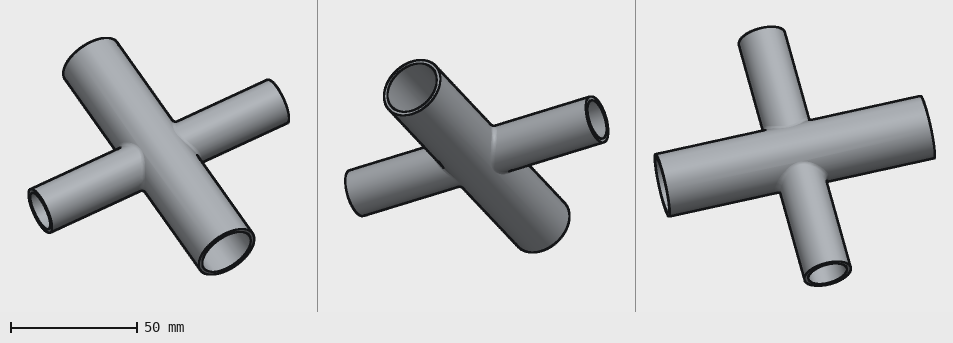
import cadquery as cq

length = 108.0
main_diameter = 25.4
branch_diameter = 19.0
wall = 1.6
junction_fillet = 1.6

main_bore = main_diameter - 2 * wall
branch_bore = branch_diameter - 2 * wall


def rod(plane, diameter):
    """Full-length solid cylinder normal to the plane, centred on the origin."""
    return cq.Workplane(plane).circle(diameter / 2).extrude(length / 2, both=True)


body = rod("YZ", main_diameter).union(rod("XZ", branch_diameter))
reach = main_diameter / 2
junction_edges = cq.selectors.BoxSelector((-reach, -reach, -reach), (reach, reach, reach))
body = body.edges(junction_edges).fillet(junction_fillet)

result = body.cut(rod("YZ", main_bore)).cut(rod("XZ", branch_bore))